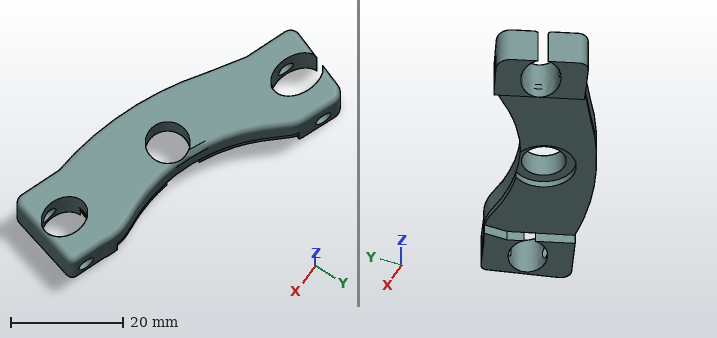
import cadquery as cq
import math

height = 7.45
tilt = 20.0
end_slant = 15.0
edge_round = 1.1

left_end = -31.3
left_foot_wall = -21.2
left_lower_side = -5.6
left_upper_side = 10.9
right_foot_wall = 19.0
right_lower_side = -7.15
right_upper_side = 9.1
right_end_middle = (26.95, -8.4)
upper_left_corner_radius = 2.6
lower_left_corner_radius = 1.85
lower_right_corner_radius = 1.95
upper_right_corner_radius = 1.25

lower_curve_start = (-15.2, -2.2)
lower_curve_middle = (-0.65, -9.8)
lower_curve_end = (15.05, -13.1)
left_shoulder = ((-17.7, 17.8), (-16.25, 17.15), (-14.95, 16.0))
upper_curve_middle = (-0.3, 4.75)
upper_curve_end = (-11.5, 12.2)
right_shoulder = ((15.85, 2.8), (19.05, 2.75), (22.3, 1.55))

middle_hole_diameter = 8.0
left_slot_center = (-23.85, 11.5)
left_slot_radii = (5.1, 3.6)
right_slot_center = (22.15, -7.0)
right_slot_radii = (4.4, 3.5)
cross_hole_diameter = 3.3
cross_hole_height = 2.75
left_cross_hole_along = -26.35
right_cross_hole_along = 24.2

pad_top = 2.9
pad_bottom = 1.65
pad_hole_clearance = 1.8
crown_rise = 0.4
crown_reach = 23.8
right_wall_bend_y = -1.8

oversize = 59.5


def tilted(along, across):
    """Turn tilted block coordinates into X, Y."""
    angle = math.radians(tilt)
    x = along * math.cos(angle) + across * math.sin(angle)
    y = across * math.cos(angle) - along * math.sin(angle)
    return (x, y)


def right_end_point(across):
    """Where the slanted right end face meets a block side at the given across position."""
    middle_x, middle_y = right_end_middle
    block_angle = math.radians(tilt)
    face_angle = math.radians(end_slant)
    middle_across = middle_x * math.sin(block_angle) + middle_y * math.cos(block_angle)
    length = (across - middle_across) / math.cos(block_angle - face_angle)
    return (middle_x + length * math.sin(face_angle), middle_y + length * math.cos(face_angle))


def outline_prism():
    """Full-height prism of the outer outline with rounded end corners."""
    lower_left = tilted(left_end, left_lower_side)
    upper_left = tilted(left_end, left_upper_side)
    lower_right = right_end_point(right_lower_side)
    upper_right = right_end_point(right_upper_side)
    prism = (
        cq.Workplane("XY")
        .moveTo(*lower_left)
        .lineTo(*tilted(left_foot_wall, left_lower_side))
        .lineTo(*lower_curve_start)
        .threePointArc(lower_curve_middle, lower_curve_end)
        .lineTo(*tilted(right_foot_wall, right_lower_side))
        .lineTo(*lower_right)
        .lineTo(*upper_right)
        .lineTo(*right_shoulder[2])
        .threePointArc(right_shoulder[1], right_shoulder[0])
        .threePointArc(upper_curve_middle, upper_curve_end)
        .lineTo(*left_shoulder[2])
        .threePointArc(left_shoulder[1], left_shoulder[0])
        .lineTo(*upper_left)
        .close()
        .extrude(height)
    )
    corners = [
        (lower_left, lower_left_corner_radius),
        (upper_left, upper_left_corner_radius),
        (lower_right, lower_right_corner_radius),
        (upper_right, upper_right_corner_radius),
    ]
    for (x, y), radius in corners:
        corner_edge = cq.selectors.NearestToPointSelector((x, y, height / 2))
        prism = prism.edges("|Z").edges(corner_edge).fillet(radius)
    return prism


def channel():
    """Space between the two feet, up to the top of the pad."""
    bend_along = right_foot_wall
    angle = math.radians(tilt)
    bend_across = (right_wall_bend_y + bend_along * math.sin(angle)) / math.cos(angle)
    bend = tilted(bend_along, bend_across)
    return (
        cq.Workplane("XY")
        .polyline([
            tilted(left_foot_wall, -oversize),
            tilted(right_foot_wall, -oversize),
            bend,
            (bend[0], oversize),
            tilted(left_foot_wall, oversize),
        ])
        .close()
        .extrude(pad_top)
    )


def middle_hole(clearance=0.0):
    radius = middle_hole_diameter / 2 + clearance
    return cq.Workplane("XY").circle(radius).extrude(height)


def slot(center, radii):
    """Vertical elliptical opening, long axis in line with the end block."""
    return (
        cq.Workplane("XY")
        .ellipse(*radii)
        .extrude(height)
        .rotate((0, 0, 0), (0, 0, 1), -tilt)
        .translate((*center, 0))
    )


def cross_hole(along):
    """Horizontal hole across an end block, through the elliptical opening."""
    return (
        cq.Workplane("XZ")
        .center(along, cross_hole_height)
        .circle(cross_hole_diameter / 2)
        .extrude(oversize / 2, both=True)
        .rotate((0, 0, 0), (0, 0, 1), -tilt)
    )


def make_housing():
    body = outline_prism().faces(">Z").edges().fillet(edge_round)
    body = body.cut(channel()).cut(middle_hole())
    body = body.cut(slot(left_slot_center, left_slot_radii))
    body = body.cut(slot(right_slot_center, right_slot_radii))
    for along in (left_cross_hole_along, right_cross_hole_along):
        body = body.cut(cross_hole(along))
    return body


def make_pad():
    """Pad filling the upper part of the channel, with a slightly crowned underside."""
    crown = (
        cq.Workplane("XZ")
        .moveTo(-crown_reach, pad_bottom + crown_rise)
        .threePointArc((0, pad_bottom), (crown_reach, pad_bottom + crown_rise))
        .lineTo(crown_reach, pad_top)
        .lineTo(-crown_reach, pad_top)
        .close()
        .extrude(oversize, both=True)
    )
    body = outline_prism().intersect(channel()).intersect(crown)
    return body.cut(middle_hole(pad_hole_clearance))


housing = make_housing()
pad = make_pad()

result = cq.Compound.makeCompound([housing.val(), pad.val()])